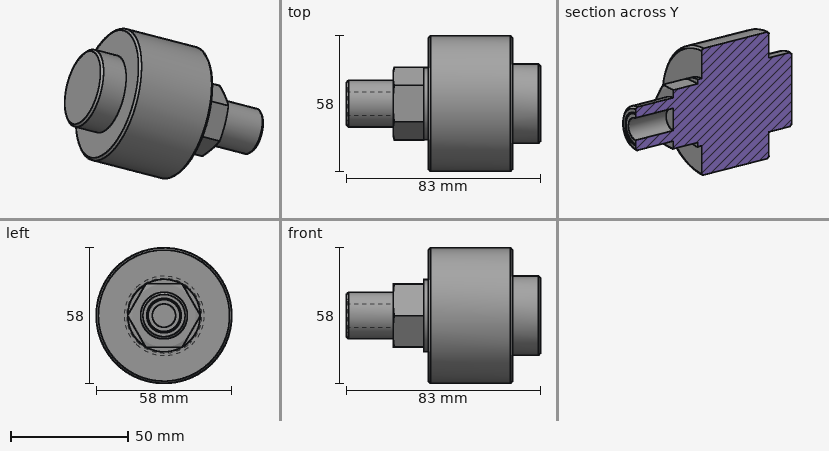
import cadquery as cq
import math

TOTAL_LENGTH = 83.0
EDGE_CHAMFER = 1.0

STEM_DIAMETER = 20.0
STEM_LENGTH = 20.0
BORE_DIAMETER = 10.0
BORE_DEPTH = STEM_LENGTH

GROOVE_OUTER_DIAMETER = 14.8
GROOVE_ROOT_DIAMETER = 14.1
GROOVE_INNER_DIAMETER = 13.6
GROOVE_DEPTH = 0.3

HEX_ACROSS_FLATS = 27.0
HEX_ACROSS_CORNERS = HEX_ACROSS_FLATS / math.cos(math.radians(30))
HEX_LENGTH = 13.0
HEX_CORNER_BEVEL = 0.5

COLLAR_DIAMETER = 31.0
COLLAR_LENGTH = 2.0
BODY_DIAMETER = 58.0
BODY_LENGTH = 36.0
BOSS_DIAMETER = 34.0

HEX_START = STEM_LENGTH
COLLAR_START = HEX_START + HEX_LENGTH
BODY_START = COLLAR_START + COLLAR_LENGTH
BOSS_START = BODY_START + BODY_LENGTH
BOSS_LENGTH = TOTAL_LENGTH - BOSS_START


def plane_at(x):
    """Plane facing +X, with its local x along Y and local y along Z."""
    return cq.Workplane("YZ", origin=(x, 0, 0))


def cylinder(start, diameter, length):
    return plane_at(start).circle(diameter / 2).extrude(length)


def revolve_about_x(points):
    """Revolve a closed outline of (x, radius) points about the X axis."""
    return cq.Workplane("XY").polyline(points).close().revolve(360, (0, 0, 0), (1, 0, 0))


def make_stem():
    return cylinder(0, STEM_DIAMETER, STEM_LENGTH).faces("<X").chamfer(EDGE_CHAMFER)


def make_hex():
    """Hexagon with corners on +Y and -Y, bevelled on the stem side."""
    prism = plane_at(HEX_START).polygon(6, HEX_ACROSS_CORNERS).extrude(HEX_LENGTH)
    bevel_envelope = revolve_about_x([
        (HEX_START, 0),
        (HEX_START, HEX_ACROSS_FLATS / 2),
        (HEX_START + HEX_CORNER_BEVEL, HEX_ACROSS_CORNERS / 2),
        (COLLAR_START, HEX_ACROSS_CORNERS / 2),
        (COLLAR_START, 0),
    ])
    return prism.intersect(bevel_envelope)


def make_collar():
    return cylinder(COLLAR_START, COLLAR_DIAMETER, COLLAR_LENGTH)


def make_body():
    return cylinder(BODY_START, BODY_DIAMETER, BODY_LENGTH).faces("<X or >X").chamfer(EDGE_CHAMFER)


def make_boss():
    return cylinder(BOSS_START, BOSS_DIAMETER, BOSS_LENGTH).faces(">X").chamfer(EDGE_CHAMFER)


def make_bore():
    return cylinder(0, BORE_DIAMETER, BORE_DEPTH)


def make_groove():
    return revolve_about_x([
        (0, GROOVE_OUTER_DIAMETER / 2),
        (GROOVE_DEPTH, GROOVE_ROOT_DIAMETER / 2),
        (0, GROOVE_INNER_DIAMETER / 2),
    ])


result = (
    make_stem()
    .union(make_hex())
    .union(make_collar())
    .union(make_body())
    .union(make_boss())
    .cut(make_bore())
    .cut(make_groove())
)